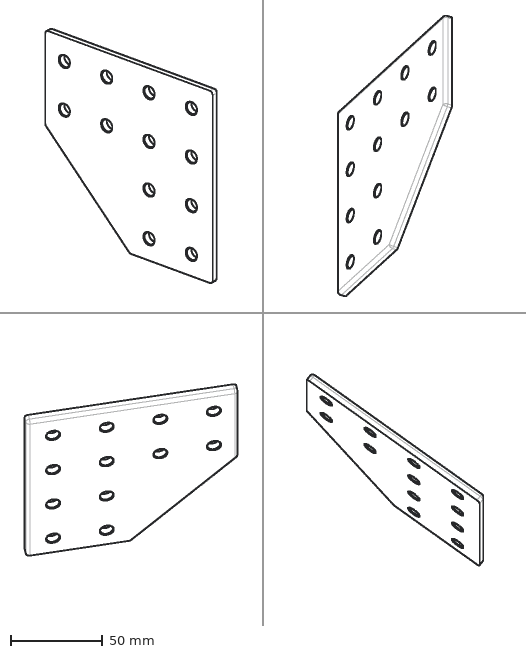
import cadquery as cq

side = 118.5
thickness = 5.0
corner_cut = 60.0
corner_radius = 2.0
back_edge_radius = 2.0

pitch = 30.0
right_margin = 15.0
top_margin = 15.0
grid_count = 4
arm_count = 2
hole_diameter = 7.0
countersink_diameter = 8.0


def make_plate():
    plate = (
        cq.Workplane("XZ")
        .moveTo(corner_cut, 0)
        .lineTo(side, 0)
        .lineTo(side, side)
        .lineTo(0, side)
        .lineTo(0, corner_cut)
        .close()
        .extrude(-thickness)
    )
    plate = plate.edges("|Y").fillet(corner_radius)
    return plate.faces(">Y").edges().fillet(back_edge_radius)


def hole_centers():
    centers = []
    for row in range(grid_count):
        columns = grid_count if row < arm_count else arm_count
        for column in range(columns):
            x = side - right_margin - column * pitch
            z = side - top_margin - row * pitch
            centers.append((x, z))
    return centers


def make_hole():
    hole_radius = hole_diameter / 2
    countersink_radius = countersink_diameter / 2
    countersink_depth = countersink_radius - hole_radius
    return (
        cq.Workplane("XY")
        .lineTo(countersink_radius, 0)
        .lineTo(hole_radius, countersink_depth)
        .lineTo(hole_radius, thickness - countersink_depth)
        .lineTo(countersink_radius, thickness)
        .lineTo(0, thickness)
        .close()
        .revolve(360, (0, 0), (0, 1))
    )


result = make_plate()
hole = make_hole()
for x, z in hole_centers():
    result = result.cut(hole.translate((x, 0, z)))